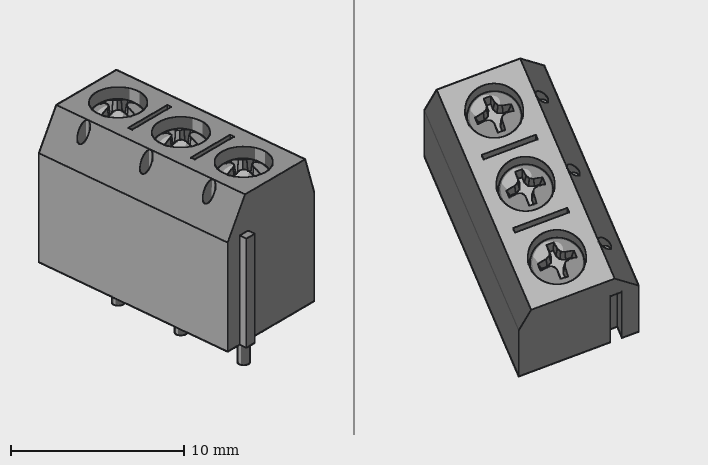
import cadquery as cq


pole_count = 3
pole_pitch = 4.88
housing_length = 14.68
housing_depth = 7.48
housing_height = 10.0
shoulder_height = 7.42
front_setback = 1.5
back_setback = 0.78

overall_length = 15.2
tongue_length = overall_length - housing_length
joint_width = 0.73
joint_y = -2.33
groove_depth = 0.75

pole_shift_x = 0.02
pole_y = 0.36
screw_hole_diameter = 3.37
screw_hole_depth = 2.0
probe_hole_diameter = 0.75
probe_hole_y = -2.61
probe_hole_depth = 2.0
slit_width = 0.3
slit_shift_x = 0.02
pole_positions = [(i - (pole_count - 1) / 2) * pole_pitch + pole_shift_x for i in range(pole_count)]

screw_shift_x = -0.05
head_diameter = 3.15
dome_diameter = 3.0
dome_radius = 2.13
dome_top_gap = 0.14
dome_top_z = housing_height - dome_top_gap
rim_chamfer = (head_diameter - dome_diameter) / 2

recess_depth = 1.06
recess_span = 2.43
recess_arm_width = 0.52
recess_corner_start = 0.6
recess_corner_middle = 0.36
floor_span = 1.85
floor_arm_width = 0.27
floor_corner_start = 0.58
floor_corner_middle = 0.27

pin_diameter = 0.75
pin_length = 3.59


def block_at(x_min, x_max, y_center, width_y, z_min, z_max):
    """Upright box given by its X and Z limits and its width about a middle Y."""
    return (
        cq.Workplane("XY")
        .box(x_max - x_min, width_y, z_max - z_min, centered=(False, True, False))
        .translate((x_min, y_center, z_min))
    )


def make_housing():
    half_depth = housing_depth / 2
    profile = [
        (-half_depth, 0),
        (half_depth, 0),
        (half_depth, shoulder_height),
        (half_depth - back_setback, housing_height),
        (-half_depth + front_setback, housing_height),
        (-half_depth, shoulder_height),
    ]
    half_length = housing_length / 2
    body = cq.Workplane("YZ").polyline(profile).close().extrude(half_length, both=True)

    tongue = block_at(half_length, half_length + tongue_length, joint_y, joint_width, 0, shoulder_height)
    groove = block_at(-half_length, -half_length + groove_depth, joint_y, joint_width, 0, shoulder_height)
    body = body.union(tongue).cut(groove)

    top = cq.Workplane("XY", origin=(0, 0, housing_height))
    screw_holes = (
        top.pushPoints([(x, pole_y) for x in pole_positions])
        .circle(screw_hole_diameter / 2)
        .extrude(-screw_hole_depth)
    )
    probe_holes = (
        top.pushPoints([(x, probe_hole_y) for x in pole_positions])
        .circle(probe_hole_diameter / 2)
        .extrude(-probe_hole_depth)
    )

    slit_positions = [x + pole_pitch / 2 + slit_shift_x for x in pole_positions[:-1]]
    slits = (
        top.pushPoints([(x, pole_y) for x in slit_positions])
        .rect(slit_width, screw_hole_diameter)
        .extrude(-housing_height)
    )
    return body.cut(screw_holes).cut(probe_holes).cut(slits)


def cross_outline(z, span, arm_width, corner_start, corner_middle):
    """Four-armed cross at height z, with each inner corner cut by two flats that meet on its diagonal."""
    near = arm_width / 2
    far = span / 2
    arm = [
        (far, -near),
        (far, near),
        (corner_start, near),
        (corner_middle, corner_middle),
        (near, corner_start),
    ]
    points = []
    for quarter in range(4):
        points += arm
        arm = [(-y, x) for x, y in arm]
    return cq.Wire.makePolygon([cq.Vector(x, y, z) for x, y in points], close=True)


def make_recess():
    """Tapered cross cutter, placed for a screw on the Z axis."""
    top_outline = cross_outline(
        dome_top_z, recess_span, recess_arm_width, recess_corner_start, recess_corner_middle
    )
    floor_outline = cross_outline(
        dome_top_z - recess_depth, floor_span, floor_arm_width, floor_corner_start, floor_corner_middle
    )
    ruled = True
    return cq.Solid.makeLoft([floor_outline, top_outline], ruled)


def dome_height_at(radius):
    """Z of the dome surface at a distance from the screw axis."""
    return dome_top_z - dome_radius + (dome_radius**2 - radius**2) ** 0.5


def make_screw(x):
    seat_z = housing_height - screw_hole_depth
    head_edge = head_diameter / 2
    dome_edge = dome_diameter / 2
    rim_z = dome_height_at(dome_edge)
    half_way = dome_edge / 2
    head = (
        cq.Workplane("XZ")
        .moveTo(0, seat_z)
        .lineTo(head_edge, seat_z)
        .lineTo(head_edge, rim_z - rim_chamfer)
        .lineTo(dome_edge, rim_z)
        .threePointArc((half_way, dome_height_at(half_way)), (0, dome_top_z))
        .close()
        .revolve(360, (0, 0, 0), (0, 1, 0))
    )
    return head.cut(make_recess()).translate((x + screw_shift_x, pole_y, 0))


def make_pin(x):
    return cq.Workplane("XY", origin=(x, pole_y, 0)).circle(pin_diameter / 2).extrude(-pin_length)


housing = make_housing()
screws = [make_screw(x) for x in pole_positions]
pins = [make_pin(x) for x in pole_positions]

result = cq.Compound.makeCompound([body.val() for body in [housing, *screws, *pins]])